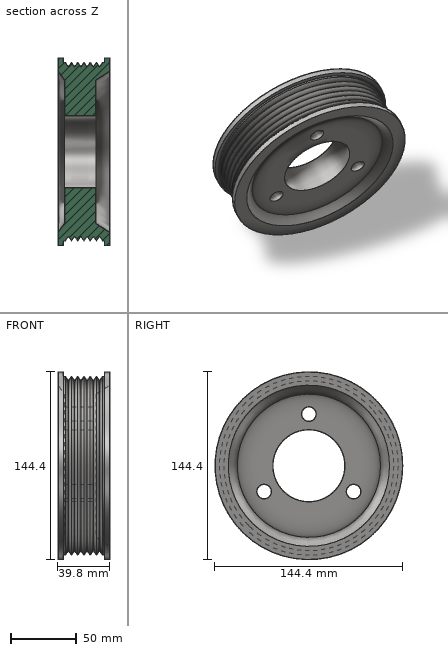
import cadquery as cq
import math

width = 39.8
outer_radius = 72.2

flange_width = 4.2
land_width = 1.37
crest_radius = 68.7
root_radius = 65.3
groove_count = 6

recess_mouth_radius = 62.0
recess_floor_radius = 55.0
recess_depth = 5.0
web_thickness = 24.0

bore_radius = 27.6
bolt_hole_radius = 5.5
bolt_circle_radius = 39.7
bolt_count = 3

left_face = -width / 2
right_face = width / 2
web_left = left_face + recess_depth
web_right = web_left + web_thickness
groove_pitch = (width - 2 * (flange_width + land_width)) / groove_count


def grooved_rim():
    """Solid disc with two flanges and V-grooves, revolved about X."""
    left_flange_end = left_face + flange_width
    first_crest = left_flange_end + land_width
    profile = [
        (left_face, 0),
        (left_face, outer_radius),
        (left_flange_end, outer_radius),
        (left_flange_end, crest_radius),
        (first_crest, crest_radius),
    ]
    for groove in range(groove_count):
        groove_start = first_crest + groove * groove_pitch
        profile.append((groove_start + groove_pitch / 2, root_radius))
        profile.append((groove_start + groove_pitch, crest_radius))
    right_flange_start = right_face - flange_width
    profile += [
        (right_flange_start, crest_radius),
        (right_flange_start, outer_radius),
        (right_face, outer_radius),
        (right_face, 0),
    ]
    return cq.Workplane("XY").polyline(profile).close().revolve(360, (0, 0, 0), (1, 0, 0))


def face_recess(face_x, floor_x):
    """Tapered recess, narrowing from a side face to its floor."""
    profile = [
        (face_x, 0),
        (face_x, recess_mouth_radius),
        (floor_x, recess_floor_radius),
        (floor_x, 0),
    ]
    return cq.Workplane("XY").polyline(profile).close().revolve(360, (0, 0, 0), (1, 0, 0))


def through_hole(radius, y=0, z=0):
    """Cylinder along X through the full width of the pulley."""
    return cq.Workplane("YZ", origin=(left_face, 0, 0)).center(y, z).circle(radius).extrude(width)


result = grooved_rim()
result = result.cut(face_recess(left_face, web_left))
result = result.cut(face_recess(right_face, web_right))
result = result.cut(through_hole(bore_radius))

for bolt in range(bolt_count):
    angle = math.pi / 2 + bolt * 2 * math.pi / bolt_count
    bolt_y = bolt_circle_radius * math.cos(angle)
    bolt_z = bolt_circle_radius * math.sin(angle)
    result = result.cut(through_hole(bolt_hole_radius, bolt_y, bolt_z))